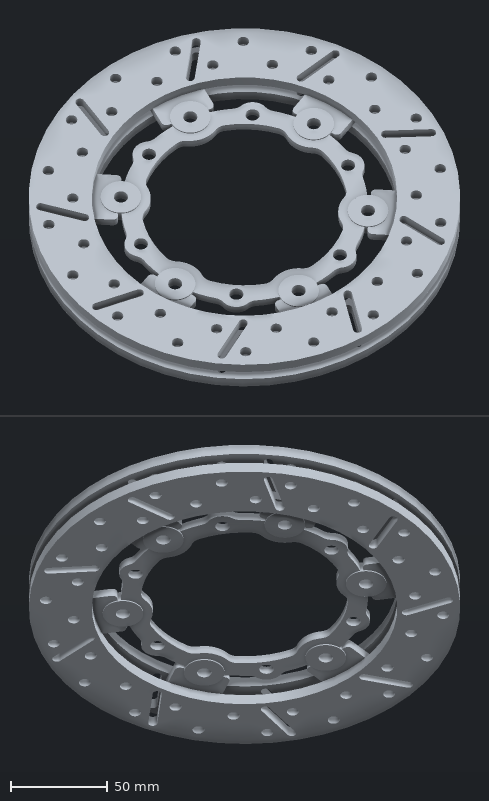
import cadquery as cq
import math

outer_diameter = 224.5
total_height = 18.0
disc_thickness = 6.0

disc_inner_radius = 79.5
drill_diameter = 6.0
drill_count = 18
outer_drill_radius = 103.5
outer_drill_angle = 4.4
inner_drill_radius = 89.4
inner_drill_angle = 14.7
slot_count = 9
slot_length = 28.7
slot_width = 4.7
slot_radius = 95.2
slot_angle = 20.3
slot_tilt = -23.8

carrier_thickness = 4.7
ring_inner_radius = 53.9
ring_outer_radius = 64.2
station_count = 6
bolt_radius = 60.0
bolt_lobe_radius = 8.5
boss_angle = 30.0
boss_radius = 64.5
boss_pad_radius = 15.5
blend_radius = 7.5
hole_diameter = 7.5
button_radius = 10.5
button_rise = 0.7
lug_inner_face = 65.0
lug_outer_face = 82.5
lug_width = 29.9
lug_corner_radius = 2.7


def polar_points(radius, count, first_angle):
    """Points evenly spaced on a circle about the Z axis."""
    angles = [math.radians(first_angle + i * 360 / count) for i in range(count)]
    return [(radius * math.cos(a), radius * math.sin(a)) for a in angles]


bolt_points = polar_points(bolt_radius, station_count, 0)
boss_points = polar_points(boss_radius, station_count, boss_angle)


def cylinders(points, radius, height):
    """Upright cylinders standing on Z = 0."""
    return cq.Workplane("XY").pushPoints(points).circle(radius).extrude(height)


def make_slots():
    """Tilted slots, cut through a disc."""
    slots = cq.Workplane("XY")
    for i in range(slot_count):
        slot = (
            cq.Workplane("XY")
            .slot2D(slot_length, slot_width, slot_tilt)
            .extrude(disc_thickness)
            .translate((slot_radius, 0, 0))
            .rotate((0, 0, 0), (0, 0, 1), slot_angle + i * 360 / slot_count)
        )
        slots = slots.add(slot)
    return slots.combine()


def make_disc(bottom):
    """One friction disc with its bottom face at the given height."""
    disc = cq.Workplane("XY").circle(outer_diameter / 2).circle(disc_inner_radius).extrude(disc_thickness)
    drill_points = polar_points(outer_drill_radius, drill_count, outer_drill_angle)
    drill_points += polar_points(inner_drill_radius, drill_count, inner_drill_angle)
    disc = disc.cut(cylinders(drill_points, drill_diameter / 2, disc_thickness))
    disc = disc.cut(make_slots())
    return disc.translate((0, 0, bottom))


def make_ring():
    """Carrier ring, wavy outside at the bolt lobes and inside at the boss pads."""
    blank = cq.Workplane("XY").circle(ring_outer_radius).extrude(carrier_thickness)
    blank = blank.union(cylinders(bolt_points, bolt_lobe_radius, carrier_thickness))
    blank = blank.edges("|Z").fillet(blend_radius)
    opening = cq.Workplane("XY").circle(ring_inner_radius).extrude(carrier_thickness)
    opening = opening.cut(cylinders(boss_points, boss_pad_radius, carrier_thickness))
    opening = opening.edges("|Z").fillet(blend_radius)
    return blank.cut(opening)


def make_lug(angle):
    """Drive lug reaching between the discs."""
    length = lug_outer_face - lug_inner_face
    return (
        cq.Workplane("XY")
        .box(length, lug_width, carrier_thickness, centered=(False, True, False))
        .edges("|Z and <X")
        .fillet(lug_corner_radius)
        .translate((lug_inner_face, 0, 0))
        .rotate((0, 0, 0), (0, 0, 1), angle)
    )


def make_carrier():
    """Ring, lugs and buttons as one body, centred between the discs."""
    carrier = make_ring()
    for i in range(station_count):
        carrier = carrier.union(make_lug(boss_angle + i * 360 / station_count))
    button_height = carrier_thickness + 2 * button_rise
    buttons = cylinders(boss_points, button_radius, button_height).translate((0, 0, -button_rise))
    carrier = carrier.union(buttons)
    holes = cylinders(bolt_points + boss_points, hole_diameter / 2, button_height)
    carrier = carrier.cut(holes.translate((0, 0, -button_rise)))
    return carrier.translate((0, 0, (total_height - carrier_thickness) / 2))


lower_disc = make_disc(0)
upper_disc = make_disc(total_height - disc_thickness)
carrier = make_carrier()

result = cq.Compound.makeCompound([lower_disc.val(), upper_disc.val(), carrier.val()])